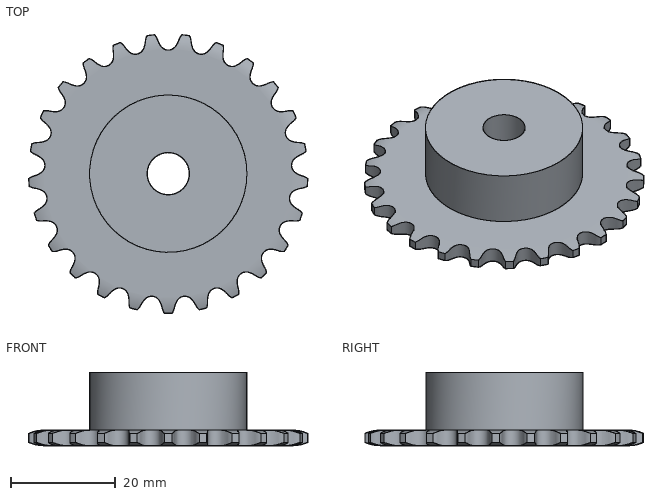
import cadquery as cq
import math

TOOTH_COUNT = 25
CHAIN_PITCH = 6.35
TIP_RADIUS = 26.65

SEAT_RADIUS = 1.7
SEAT_SWEEP = 52.6
WORKING_RADIUS = 4.3
WORKING_SWEEP = 15.8
FLANK_LENGTH = 0.4
TOPPING_RADIUS = 2.65
TOPPING_SWEEP = 45.0

PLATE_THICKNESS = 3.0
FLAT_FACE_RADIUS = 23.7
TIP_RELIEF = 0.65
TOTAL_HEIGHT = 14.0
HUB_DIAMETER = 30.0
BORE_DIAMETER = 8.0

GAP_STEP = 360.0 / TOOTH_COUNT
PITCH_RADIUS = CHAIN_PITCH / (2 * math.sin(math.radians(GAP_STEP / 2)))
ROOT_RADIUS = PITCH_RADIUS - SEAT_RADIUS


def make_plate_blank():
    """Disc whose rim narrows along arcs that leave both flat faces tangentially."""
    half_thickness = PLATE_THICKNESS / 2
    lower_half = (
        cq.Workplane("XZ")
        .lineTo(FLAT_FACE_RADIUS, 0)
        .tangentArcPoint((TIP_RADIUS, TIP_RELIEF), relative=False)
        .lineTo(TIP_RADIUS, half_thickness)
        .lineTo(0, half_thickness)
        .close()
        .revolve(360, (0, 0), (0, 1))
    )
    upper_half = lower_half.mirror("XY", (0, 0, half_thickness))
    return lower_half.union(upper_half)


def point_at(centre, radius, angle):
    """Point on a circle, with the angle in degrees counted from -Y toward +X."""
    turn = math.radians(angle)
    return centre[0] + radius * math.sin(turn), centre[1] - radius * math.cos(turn)


def make_gap_cutter():
    """Tooth gap centred on the +Y axis, opening outward past the tooth tips."""
    working_end_angle = SEAT_SWEEP + WORKING_SWEEP
    topping_end_angle = working_end_angle - TOPPING_SWEEP

    seat_centre = (0, PITCH_RADIUS)
    seat_end = point_at(seat_centre, SEAT_RADIUS, SEAT_SWEEP)
    working_centre = point_at(seat_end, -WORKING_RADIUS, SEAT_SWEEP)
    working_end = point_at(working_centre, WORKING_RADIUS, working_end_angle)
    flank_end = point_at(working_end, FLANK_LENGTH, working_end_angle + 90)
    topping_centre = point_at(flank_end, TOPPING_RADIUS, working_end_angle)
    topping_middle_angle = working_end_angle - TOPPING_SWEEP / 2
    topping_end = point_at(topping_centre, -TOPPING_RADIUS, topping_end_angle)

    half_gap = (
        cq.Workplane("XY")
        .moveTo(0, ROOT_RADIUS)
        .threePointArc(point_at(seat_centre, SEAT_RADIUS, SEAT_SWEEP / 2), seat_end)
        .threePointArc(
            point_at(working_centre, WORKING_RADIUS, SEAT_SWEEP + WORKING_SWEEP / 2),
            working_end,
        )
        .lineTo(*flank_end)
        .threePointArc(
            point_at(topping_centre, -TOPPING_RADIUS, topping_middle_angle),
            topping_end,
        )
        .lineTo(0, topping_end[1])
        .close()
        .extrude(PLATE_THICKNESS)
    )
    return half_gap.union(half_gap.mirror("YZ"))


def cut_tooth_gaps(plate):
    cutter = make_gap_cutter()
    for index in range(TOOTH_COUNT):
        plate = plate.cut(cutter.rotate((0, 0, 0), (0, 0, 1), index * GAP_STEP))
    return plate


hub = cq.Workplane("XY").circle(HUB_DIAMETER / 2).extrude(TOTAL_HEIGHT)
bore = cq.Workplane("XY").circle(BORE_DIAMETER / 2).extrude(TOTAL_HEIGHT)

result = cut_tooth_gaps(make_plate_blank()).union(hub).cut(bore)